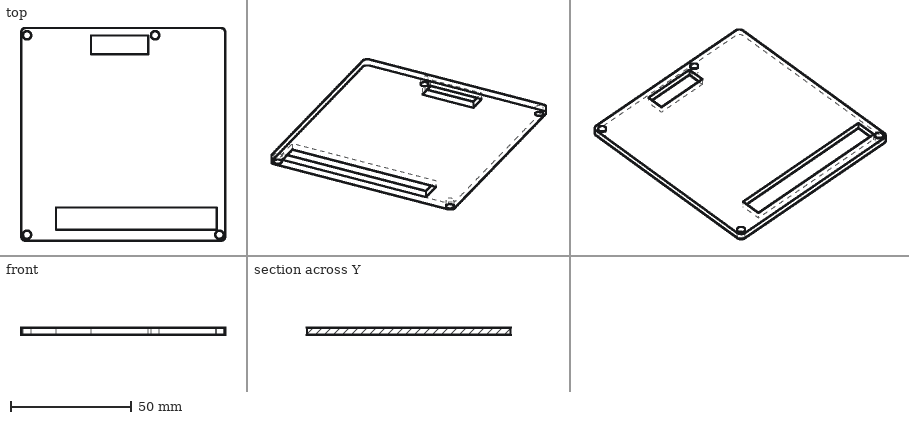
import cadquery as cq

WIDTH = 85.2
LENGTH = 88.8
THICKNESS = 3.0
CORNER_RADIUS = 2.0

LEFT = -WIDTH / 2
RIGHT = WIDTH / 2
FRONT = -LENGTH / 2
BACK = LENGTH / 2

HOLE_DIAMETER = 3.4
SIDE_MARGIN = 2.5
FRONT_MARGIN = 2.6
BACK_MARGIN = 3.1
BACK_HOLE_SPACING = 53.4

BACK_WINDOW_WIDTH = 23.7
BACK_WINDOW_LENGTH = 7.7
BACK_WINDOW_FROM_LEFT = 29.2
BACK_WINDOW_FROM_BACK = 3.3

FRONT_WINDOW_WIDTH = 66.9
FRONT_WINDOW_LENGTH = 9.15
FRONT_WINDOW_FROM_LEFT = 14.65
FRONT_WINDOW_FROM_FRONT = 4.7


def block(left, front, width, length):
    """Block of full plate thickness placed by its left front corner."""
    return cq.Workplane("XY").box(width, length, THICKNESS, centered=False).translate((left, front, 0))


def rounded_plate():
    return block(LEFT, FRONT, WIDTH, LENGTH).edges("|Z").fillet(CORNER_RADIUS)


def screw_holes():
    """Three corner holes, and one inboard along the back edge."""
    left_x = LEFT + SIDE_MARGIN
    right_x = RIGHT - SIDE_MARGIN
    front_y = FRONT + FRONT_MARGIN
    back_y = BACK - BACK_MARGIN
    centres = [
        (left_x, front_y),
        (right_x, front_y),
        (left_x, back_y),
        (left_x + BACK_HOLE_SPACING, back_y),
    ]
    return cq.Workplane("XY").pushPoints(centres).circle(HOLE_DIAMETER / 2).extrude(THICKNESS)


back_window = block(
    LEFT + BACK_WINDOW_FROM_LEFT,
    BACK - BACK_WINDOW_FROM_BACK - BACK_WINDOW_LENGTH,
    BACK_WINDOW_WIDTH,
    BACK_WINDOW_LENGTH,
)
front_window = block(
    LEFT + FRONT_WINDOW_FROM_LEFT,
    FRONT + FRONT_WINDOW_FROM_FRONT,
    FRONT_WINDOW_WIDTH,
    FRONT_WINDOW_LENGTH,
)

result = rounded_plate().cut(screw_holes()).cut(back_window).cut(front_window)